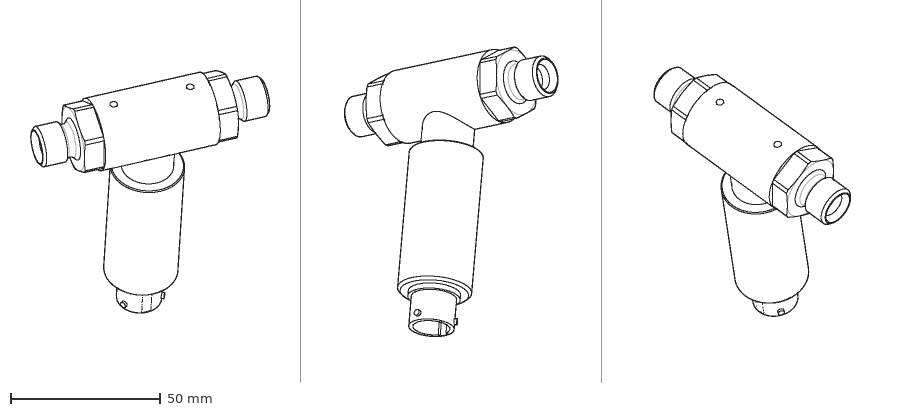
import cadquery as cq
import math

TILT = 7.5

OVERALL_WIDTH = 81.0
HOUSING_RADIUS = 12.5
HOUSING_HALF_LENGTH = 20.5
SCREW_HOLE_Y = 13.7
SCREW_HOLE_RADIUS = 1.3
SCREW_HOLE_DEPTH = 4.85

NUT_SIDES = 6
NUT_ACROSS_FLATS = 22.0
NUT_CORNER_RADIUS = 12.3
NUT_END_Y = 27.6
NUT_CHAMFER_ANGLE = 15.0

NIPPLE_END_Y = OVERALL_WIDTH / 2
NIPPLE_RADIUS = 7.0
NIPPLE_CHAMFER = 1.0
SHOULDER_Y = 32.0
GROOVE_RADIUS = 5.6
GROOVE_ARC_RADIUS = 1.7
GROOVE_CONE_ANGLE = 45.0

SEAT_MOUTH_RADIUS = 5.6
SEAT_INNER_RADIUS = 4.3
SEAT_HALF_ANGLE = 30.0
SEAT_BORE_LENGTH = 2.9
POCKET_END_RADIUS = 1.6
POCKET_HALF_ANGLE = 45.0

NECK_RADIUS = 8.8
CAN_TOP = 21.0
CAN_RADIUS = HOUSING_RADIUS
CAN_TOP_CHAMFER = 0.4
CAN_BOTTOM = 71.6
CAN_BOTTOM_CHAMFER = 1.0
COLLAR_RADIUS = NECK_RADIUS
COLLAR_BOTTOM = 73.4
CONNECTOR_RADIUS = 7.7
CONNECTOR_BOTTOM = 84.2
SOCKET_RADIUS = 6.2
SOCKET_DEPTH = 9.7
KEYWAY_WIDTH = 3.3
KEYWAY_RADIUS = 7.3
PIN_RADIUS = 1.1
PIN_TIP_RADIUS = 8.5
PIN_STATION = 81.8
PIN_COUNT = 3


def lean(workplane):
    """Turn a part built along Z about the Y axis onto the sensor axis."""
    return workplane.rotate((0, 0, 0), (0, 1, 0), TILT)


def cylinder(radius, top, bottom):
    """Upright cylinder between two stations measured down the sensor axis."""
    return cq.Workplane("XY").workplane(offset=-bottom).circle(radius).extrude(bottom - top)


def make_nut():
    """Hexagon with corners up and down, rounded to a cylinder and chamfered at its end."""
    corner = NUT_ACROSS_FLATS / 2 / math.cos(math.pi / NUT_SIDES)
    points = []
    for step in range(NUT_SIDES):
        angle = math.radians(90 + step * 360 / NUT_SIDES)
        points.append((corner * math.cos(angle), corner * math.sin(angle)))
    hexagon = cq.Workplane("XZ").polyline(points).close().extrude(-NUT_END_Y)
    flat_radius = NUT_ACROSS_FLATS / 2
    drop = (NUT_CORNER_RADIUS - flat_radius) * math.tan(math.radians(NUT_CHAMFER_ANGLE))
    envelope = (
        cq.Workplane("XY")
        .polyline([
            (0, 0),
            (NUT_CORNER_RADIUS, 0),
            (NUT_CORNER_RADIUS, NUT_END_Y - drop),
            (flat_radius, NUT_END_Y),
            (0, NUT_END_Y),
        ])
        .close()
        .revolve(360, (0, 0), (0, 1))
    )
    return hexagon.intersect(envelope)


def make_nipple():
    """Nipple with an undercut behind it and a conical seat in its end."""
    cone_angle = math.radians(GROOVE_CONE_ANGLE)
    cone_slope = math.tan(cone_angle)
    arc_rise = GROOVE_ARC_RADIUS * (1 - math.cos(cone_angle))
    arc_half_width = GROOVE_ARC_RADIUS * math.sin(cone_angle)
    arc_end_radius = GROOVE_RADIUS + arc_rise
    arc_outer_y = SHOULDER_Y - (NIPPLE_RADIUS - arc_end_radius) / cone_slope
    groove_y = arc_outer_y - arc_half_width
    arc_inner_y = groove_y - arc_half_width
    root_radius = arc_end_radius + (arc_inner_y - NUT_END_Y) * cone_slope
    seat_depth = (SEAT_MOUTH_RADIUS - SEAT_INNER_RADIUS) / math.tan(math.radians(SEAT_HALF_ANGLE))
    pocket_depth = (SEAT_INNER_RADIUS - POCKET_END_RADIUS) / math.tan(math.radians(POCKET_HALF_ANGLE))
    seat_y = NIPPLE_END_Y - seat_depth
    bore_y = seat_y - SEAT_BORE_LENGTH
    pocket_y = bore_y - pocket_depth
    return (
        cq.Workplane("XY")
        .moveTo(0, 0)
        .lineTo(root_radius, 0)
        .lineTo(root_radius, NUT_END_Y)
        .lineTo(arc_end_radius, arc_inner_y)
        .threePointArc((GROOVE_RADIUS, groove_y), (arc_end_radius, arc_outer_y))
        .lineTo(NIPPLE_RADIUS, SHOULDER_Y)
        .lineTo(NIPPLE_RADIUS, NIPPLE_END_Y - NIPPLE_CHAMFER)
        .lineTo(NIPPLE_RADIUS - NIPPLE_CHAMFER, NIPPLE_END_Y)
        .lineTo(SEAT_MOUTH_RADIUS, NIPPLE_END_Y)
        .lineTo(SEAT_INNER_RADIUS, seat_y)
        .lineTo(SEAT_INNER_RADIUS, bore_y)
        .lineTo(POCKET_END_RADIUS, pocket_y)
        .lineTo(0, pocket_y)
        .close()
        .revolve(360, (0, 0), (0, 1))
    )


def make_housing_cylinder():
    """Plain outside of the housing, which also shapes the saddle under the neck."""
    return cq.Workplane("XZ").circle(HOUSING_RADIUS).extrude(HOUSING_HALF_LENGTH, both=True)


def make_tee():
    """Housing along Y with a nut and a nipple at each end and two screw holes on top."""
    end = make_nut().union(make_nipple())
    tee = make_housing_cylinder().union(end).union(end.mirror("XZ"))
    for hole_y in (-SCREW_HOLE_Y, SCREW_HOLE_Y):
        hole = (
            cq.Workplane("XY")
            .workplane(offset=HOUSING_RADIUS - SCREW_HOLE_DEPTH)
            .center(0, hole_y)
            .circle(SCREW_HOLE_RADIUS)
            .extrude(2 * SCREW_HOLE_DEPTH)
        )
        tee = tee.cut(lean(hole))
    return tee


def make_sensor():
    """Sensor can with a neck saddled on the housing and a bayonet connector at the bottom."""
    neck = cylinder(NECK_RADIUS, 0, CAN_TOP).cut(make_housing_cylinder())
    can = cylinder(CAN_RADIUS, CAN_TOP, CAN_BOTTOM)
    can = can.faces(">Z").chamfer(CAN_TOP_CHAMFER).faces("<Z").chamfer(CAN_BOTTOM_CHAMFER)
    collar = cylinder(COLLAR_RADIUS, CAN_BOTTOM, COLLAR_BOTTOM)
    connector = cylinder(CONNECTOR_RADIUS, COLLAR_BOTTOM, CONNECTOR_BOTTOM)
    sensor = neck.union(can).union(collar).union(connector)
    for index in range(PIN_COUNT):
        pin = (
            cq.Workplane("YZ")
            .center(0, -PIN_STATION)
            .circle(PIN_RADIUS)
            .extrude(-PIN_TIP_RADIUS)
            .rotate((0, 0, 0), (0, 0, 1), index * 360 / PIN_COUNT)
        )
        sensor = sensor.union(pin)
    socket_top = CONNECTOR_BOTTOM - SOCKET_DEPTH
    keyway = (
        cq.Workplane("XY")
        .box(KEYWAY_RADIUS, KEYWAY_WIDTH, SOCKET_DEPTH, centered=(False, True, False))
        .translate((0, 0, -CONNECTOR_BOTTOM))
        .intersect(cylinder(KEYWAY_RADIUS, socket_top, CONNECTOR_BOTTOM))
    )
    sensor = sensor.cut(cylinder(SOCKET_RADIUS, socket_top, CONNECTOR_BOTTOM)).cut(keyway)
    return lean(sensor)


tee = make_tee()
sensor = make_sensor()
result = cq.Compound.makeCompound([tee.val(), sensor.val()])